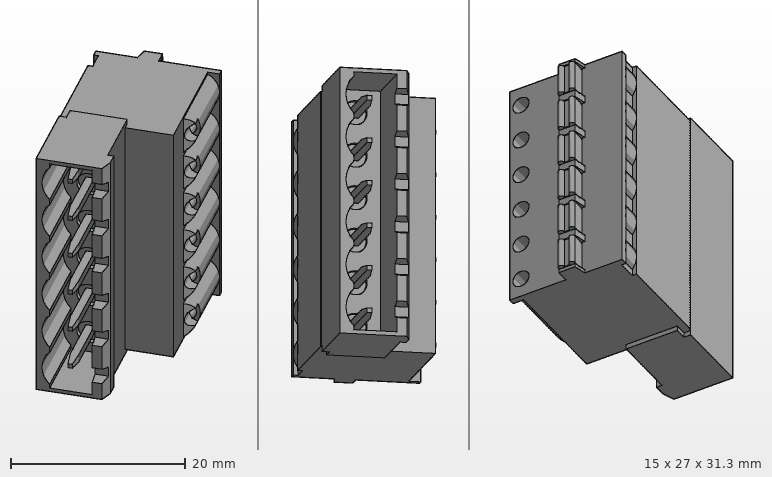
import cadquery as cq


POLES = 6
PITCH = 5.0
POLE_HEIGHTS = [(i - (POLES - 1) / 2) * PITCH for i in range(POLES)]
POLE_BORDERS = [(i - POLES / 2) * PITCH for i in range(POLES + 1)]

BODY_LENGTH = POLES * PITCH
BODY_RIGHT = 13.6
BODY_FRONT = 10.12
BODY_BACK = 25.0
FLAP_FRONT = 9.7
FLANGE_RIGHT = 15.0
FLANGE_THICKNESS = 0.78
FLANGE_FRONT = BODY_BACK - FLANGE_THICKNESS

HEADER_LENGTH = 31.32
HEADER_LEFT = 0.13
HEADER_RIGHT = 7.83
HEADER_BACK = 10.95
NOTCH_RIGHT = 1.0
NOTCH_FRONT = 9.45

RIM_RIGHT = 8.55
RIM_BACK = 2.98
RIM_CORNER_Y = 1.5
RIM_NOSE_X = 8.0

SLOT_DEPTH = 1.2
SLOT_MOUTH_WIDTH = 1.97
SLOT_FLOOR_WIDTH = 1.2

CAVITY_LENGTH = 30.38
CAVITY_LEFT = 1.75
CAVITY_RIGHT = 6.83
CAVITY_DEPTH = 8.77
SCALLOP_RADIUS = 3.0

PIN_X = 3.85
PIN_WIDTH = 1.0
PIN_TIP_WIDTH = 0.53
PIN_TIP_LENGTH = 1.88
PIN_FRONT = 1.15
PIN_RECESS_RADIUS = 1.4
PIN_RECESS_DEPTH = 0.63

TOWER_RADIUS = PITCH / 2
TOWER_X = FLANGE_RIGHT - TOWER_RADIUS
TOWER_FRONT = 14.15
TOWER_TAPER = 1.4
ENTRY_X = 14.85
ENTRY_RADIUS = 1.15
ENTRY_BACK = 16.3
BORE_X = 13.5
BORE_RADIUS = 1.05

CHANNEL_DEPTH = 0.55
CHANNEL_FRONT = 21.77
CHANNEL_BACK = 24.12
GRIP_WIDTH = 3.25
GRIP_RADIUS = ((GRIP_WIDTH / 2) ** 2 + CHANNEL_DEPTH**2) / (2 * CHANNEL_DEPTH)

KEY_LEFT = 5.32
KEY_RIGHT = 7.52
KEY_BACK = 26.55
KEY_WIDTH = 3.82
RIB_ROOT_LEFT = 4.98
RIB_WIDTH = 0.95
BEAD_HEIGHT = 0.45
BEAD_RADIUS = 0.38
BEAD_BACK = KEY_BACK + BEAD_HEIGHT


def box(x_min, x_max, y_min, y_max, z_min, z_max):
    size = (x_max - x_min, y_max - y_min, z_max - z_min)
    return cq.Workplane("XY").box(*size, centered=False).translate((x_min, y_min, z_min))


def bar(x_min, x_max, y_min, y_max, length):
    """Box centred on the middle of the row."""
    return box(x_min, x_max, y_min, y_max, -length / 2, length / 2)


def prism(points, z_middle, length):
    """Outline in X and Y, extruded along Z about a middle height."""
    outline = cq.Workplane("XY", origin=(0, 0, z_middle)).polyline(points).close()
    return outline.extrude(length / 2, both=True)


def cylinder(x, z, radius, y_min, y_max):
    """Cylinder with its axis along Y."""
    return cq.Workplane("XZ", origin=(x, y_min, z)).circle(radius).extrude(y_min - y_max)


def plug_body():
    body = bar(0, BODY_RIGHT, BODY_FRONT, BODY_BACK, BODY_LENGTH)
    flap = bar(0, HEADER_RIGHT, FLAP_FRONT, BODY_BACK, BODY_LENGTH)
    flange = bar(0, FLANGE_RIGHT, FLANGE_FRONT, BODY_BACK, BODY_LENGTH)
    return body.union(flap).union(flange)


def header_shell():
    outline = [
        (HEADER_LEFT, 0),
        (RIM_NOSE_X, 0),
        (RIM_RIGHT, RIM_CORNER_Y),
        (RIM_RIGHT, RIM_BACK),
        (HEADER_RIGHT, RIM_BACK),
        (HEADER_RIGHT, HEADER_BACK),
        (NOTCH_RIGHT, HEADER_BACK),
        (NOTCH_RIGHT, NOTCH_FRONT),
        (HEADER_LEFT, NOTCH_FRONT),
    ]
    seam = bar(HEADER_LEFT, HEADER_RIGHT, NOTCH_FRONT, FLAP_FRONT, BODY_LENGTH)
    return prism(outline, 0, HEADER_LENGTH).union(seam)


def header_cavity():
    cavity = bar(CAVITY_LEFT, CAVITY_RIGHT, 0, CAVITY_DEPTH, CAVITY_LENGTH)
    envelope = bar(HEADER_LEFT, CAVITY_RIGHT, 0, CAVITY_DEPTH, CAVITY_LENGTH)
    for z in POLE_HEIGHTS:
        scallop = cylinder(PIN_X, z, SCALLOP_RADIUS, 0, CAVITY_DEPTH)
        recess = cylinder(PIN_X, z, PIN_RECESS_RADIUS, CAVITY_DEPTH, CAVITY_DEPTH + PIN_RECESS_DEPTH)
        cavity = cavity.union(scallop.intersect(envelope)).union(recess)
    return cavity


def latch_slot(z):
    flared_outline = [
        (0, z - SLOT_MOUTH_WIDTH / 2),
        (SLOT_DEPTH, z - SLOT_FLOOR_WIDTH / 2),
        (SLOT_DEPTH, z + SLOT_FLOOR_WIDTH / 2),
        (0, z + SLOT_MOUTH_WIDTH / 2),
    ]
    slot = cq.Workplane("YZ", origin=(CAVITY_RIGHT, 0, 0)).polyline(flared_outline).close()
    return slot.extrude(RIM_RIGHT - CAVITY_RIGHT)


def contact_pin(z):
    shank_front = PIN_FRONT + PIN_TIP_LENGTH
    half = PIN_WIDTH / 2
    shank = box(PIN_X - half, PIN_X + half, shank_front, HEADER_BACK, z - half, z + half)
    tip = (
        cq.Workplane("XZ", origin=(PIN_X, shank_front, z))
        .rect(PIN_WIDTH, PIN_WIDTH)
        .workplane(offset=PIN_TIP_LENGTH)
        .rect(PIN_TIP_WIDTH, PIN_TIP_WIDTH)
        .loft()
    )
    return shank.union(tip)


def screw_tower(z):
    """Round tower with its front cut off at an angle."""
    outline = [
        (TOWER_X, TOWER_FRONT),
        (BODY_RIGHT, TOWER_FRONT),
        (FLANGE_RIGHT, TOWER_FRONT + TOWER_TAPER),
        (FLANGE_RIGHT, FLANGE_FRONT),
        (TOWER_X, FLANGE_FRONT),
    ]
    tower = cylinder(TOWER_X, z, TOWER_RADIUS, TOWER_FRONT, FLANGE_FRONT)
    return tower.intersect(prism(outline, z, PITCH))


def screw_bores(z):
    entry = cylinder(ENTRY_X, z, ENTRY_RADIUS, TOWER_FRONT, ENTRY_BACK)
    bore = cylinder(BORE_X, z, BORE_RADIUS, ENTRY_BACK, BODY_BACK)
    return entry.union(bore)


def grip_rib(z):
    rib = cylinder(GRIP_RADIUS, z, GRIP_RADIUS, CHANNEL_FRONT, CHANNEL_BACK)
    half = GRIP_WIDTH / 2
    return rib.intersect(box(0, CHANNEL_DEPTH, CHANNEL_FRONT, CHANNEL_BACK, z - half, z + half))


def back_key(z):
    """Block with two rounded beads along its back face."""
    half = KEY_WIDTH / 2
    key = box(KEY_LEFT, KEY_RIGHT, BODY_BACK, KEY_BACK, z - half, z + half)
    for x in (KEY_LEFT + BEAD_RADIUS, KEY_RIGHT - BEAD_RADIUS):
        bead = cq.Workplane("XY", origin=(x, BEAD_BACK - BEAD_RADIUS, z - half))
        key = key.union(bead.circle(BEAD_RADIUS).extrude(KEY_WIDTH))
    return key


def back_rib(z):
    outline = [
        (RIB_ROOT_LEFT, BODY_BACK),
        (KEY_RIGHT, BODY_BACK),
        (KEY_RIGHT, KEY_BACK),
        (KEY_LEFT, KEY_BACK),
    ]
    return prism(outline, z, RIB_WIDTH)


result = plug_body().cut(bar(0, CHANNEL_DEPTH, CHANNEL_FRONT, CHANNEL_BACK, BODY_LENGTH))
result = result.union(header_shell()).cut(header_cavity())

for pole_z in POLE_HEIGHTS:
    result = result.cut(latch_slot(pole_z)).union(contact_pin(pole_z))
    result = result.union(screw_tower(pole_z)).union(grip_rib(pole_z)).union(back_key(pole_z))

for pole_z in POLE_HEIGHTS:
    result = result.cut(screw_bores(pole_z))

back_ribs = back_rib(POLE_BORDERS[0])
for border_z in POLE_BORDERS[1:]:
    back_ribs = back_ribs.union(back_rib(border_z))
result = result.union(back_ribs.intersect(bar(0, FLANGE_RIGHT, BODY_BACK, KEY_BACK, BODY_LENGTH)))